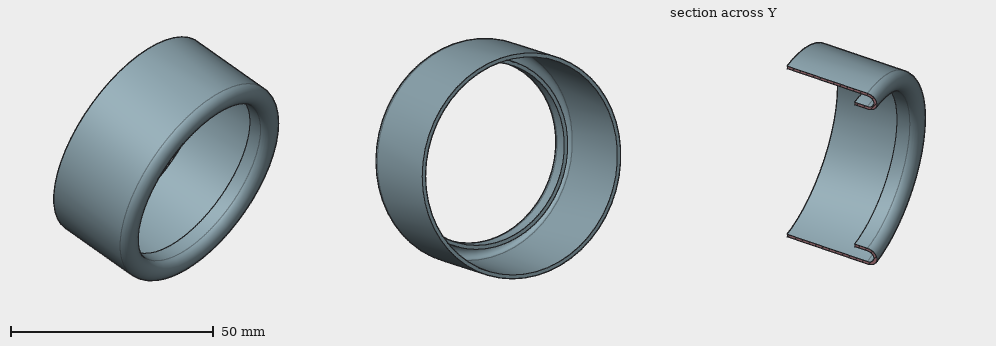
import cadquery as cq

outer_diameter = 56.5
lip_bore_diameter = 45.8
sleeve_bore_diameter = 54.5
length = 25.0
lip_length = 3.55

outer_radius = outer_diameter / 2
sleeve_inner_radius = sleeve_bore_diameter / 2
wall = outer_radius - sleeve_inner_radius
lip_inner_radius = lip_bore_diameter / 2
lip_outer_radius = lip_inner_radius + wall
bend_outer_radius = (outer_radius - lip_inner_radius) / 2
bend_inner_radius = bend_outer_radius - wall
bend_center_radius = outer_radius - bend_outer_radius

bend_start = length - bend_outer_radius
lip_end = bend_start - lip_length

section = (
    cq.Workplane("XY")
    .moveTo(0, sleeve_inner_radius)
    .lineTo(0, outer_radius)
    .lineTo(bend_start, outer_radius)
    .threePointArc((length, bend_center_radius), (bend_start, lip_inner_radius))
    .lineTo(lip_end, lip_inner_radius)
    .lineTo(lip_end, lip_outer_radius)
    .lineTo(bend_start, lip_outer_radius)
    .threePointArc(
        (bend_start + bend_inner_radius, bend_center_radius),
        (bend_start, sleeve_inner_radius),
    )
    .close()
)

result = section.revolve(360, (0, 0, 0), (1, 0, 0))